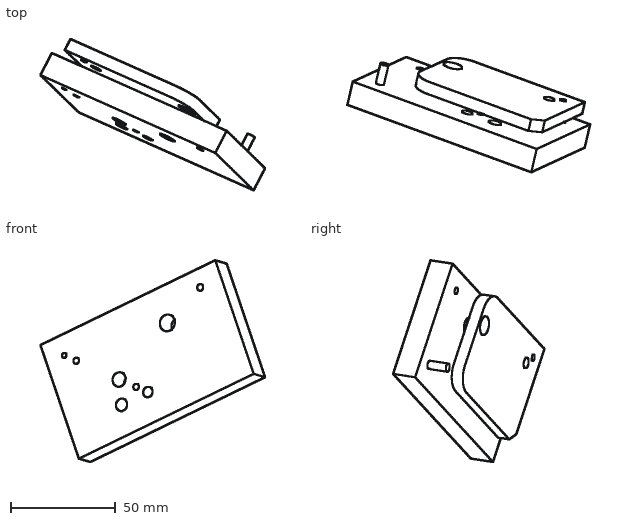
import cadquery as cq


BASE_LENGTH = 100.0
BASE_HEIGHT = 60.0
BASE_THICKNESS = 12.0
BASE_HOLES = [
    (10.0, 10.0, 2.4),
    (15.0, 15.0, 3.0),
    (33.0, 33.0, 7.0),
    (40.0, 40.0, 3.0),
    (45.0, 45.0, 5.0),
    (30.0, 45.0, 6.0),
    (66.0, 17.9, 8.0),
    (88.0, 9.0, 3.2),
]

PIN_X = 90.4
PIN_Y = 49.2
PIN_DIAMETER = 4.0
PIN_LENGTH = 10.0

COVER_GAP = 4.0
COVER_X = 4.8
COVER_Y = 1.0
COVER_LENGTH = 70.0
COVER_HEIGHT = 50.0
COVER_THICKNESS = 6.0
COVER_CORNER_RADIUS = 10.0
COVER_CHAMFER = 5.0
COVER_HOLES = [
    (7.9, 8.2, 3.0),
    (13.0, 13.2, 5.0),
    (63.9, 16.3, 9.0),
]

TILT_X = -98.5
TILT_Y = -23.9
TILT_Z = -24.0


def flat_plate(length, height, thickness):
    """Rectangular plate with a corner at the origin."""
    return cq.Workplane("XY").box(length, height, thickness, centered=False)


def drill(plate, holes, thickness):
    """Cut round holes straight through a plate."""
    for x, y, diameter in holes:
        cutter = cq.Workplane("XY").center(x, y).circle(diameter / 2).extrude(thickness)
        plate = plate.cut(cutter)
    return plate


def tilt(body):
    """Turn a flat body into its final direction about the shared origin."""
    origin = (0, 0, 0)
    body = body.rotate(origin, (1, 0, 0), TILT_X)
    body = body.rotate(origin, (0, 1, 0), TILT_Y)
    return body.rotate(origin, (0, 0, 1), TILT_Z)


def make_base():
    """Drilled base plate with its pin."""
    plate = flat_plate(BASE_LENGTH, BASE_HEIGHT, BASE_THICKNESS)
    plate = drill(plate, BASE_HOLES, BASE_THICKNESS)
    pin = (
        cq.Workplane("XY", origin=(PIN_X, PIN_Y, BASE_THICKNESS))
        .circle(PIN_DIAMETER / 2)
        .extrude(PIN_LENGTH)
    )
    return tilt(plate.union(pin))


def make_cover():
    """Drilled cover plate with two rounded corners and one chamfered corner."""
    plate = flat_plate(COVER_LENGTH, COVER_HEIGHT, COVER_THICKNESS)
    plate = plate.edges("|Z and >X").fillet(COVER_CORNER_RADIUS)
    plate = plate.edges("|Z and <X and >Y").chamfer(COVER_CHAMFER)
    plate = drill(plate, COVER_HOLES, COVER_THICKNESS)
    return tilt(plate.translate((COVER_X, COVER_Y, BASE_THICKNESS + COVER_GAP)))


base = make_base()
cover = make_cover()

result = cq.Compound.makeCompound([base.val(), cover.val()])